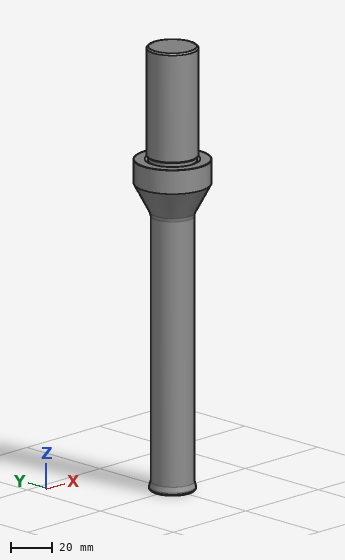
import cadquery as cq

total_height = 225.3
collar_top = 168.0
collar_height = 12.2
cone_bottom = 140.4
tip_height = 4.5
tip_rim_height = 1.8

shank_radius = 12.73
collar_radius = 19.04
stem_radius = 10.7
tip_radius = 11.5

shank_chamfer = 1.0
collar_chamfer = 0.2
tip_chamfer = 1.0
cone_fillet = 4.0
foot_margin = 1.1

neck_radius = 12.0
neck_height = 1.4
neck_chamfer = 0.7
ring_radius = 13.5
ring_depth = 0.7


def cylinder(radius, bottom, top):
    """Solid cylinder on the Z axis between two heights."""
    return cq.Workplane("XY").workplane(offset=bottom).circle(radius).extrude(top - bottom)


def make_shank():
    """Chamfered drive shank standing on a narrower neck in the collar's seat."""
    neck_top = collar_top + neck_height
    shank = cylinder(shank_radius, neck_top, total_height)
    shank = shank.faces(">Z").chamfer(shank_chamfer)
    shank = shank.faces("<Z").chamfer(neck_chamfer)
    neck = cylinder(neck_radius, collar_top - ring_depth, neck_top)
    return shank.union(neck)


def make_tool():
    """Collar, tapered cone, long stem and slightly flared tip, turned in one piece."""
    collar_bottom = collar_top - collar_height
    outline = [
        (0, 0),
        (tip_radius - tip_chamfer, 0),
        (tip_radius, tip_chamfer),
        (tip_radius, tip_rim_height),
        (stem_radius, tip_height),
        (stem_radius, cone_bottom),
        (collar_radius, collar_bottom),
        (collar_radius, collar_top - collar_chamfer),
        (collar_radius - collar_chamfer, collar_top),
        (ring_radius, collar_top),
        (neck_radius, collar_top - ring_depth),
        (0, collar_top - ring_depth),
    ]
    tool = cq.Workplane("XZ").polyline(outline).close().revolve(360, (0, 0), (0, 1))

    cone_foot = cq.selectors.BoxSelector(
        (-collar_radius, -collar_radius, cone_bottom - foot_margin),
        (collar_radius, collar_radius, cone_bottom + foot_margin),
        boundingbox=True,
    )
    return tool.edges(cone_foot).fillet(cone_fillet)


shank = make_shank()
tool = make_tool()
result = cq.Compound.makeCompound([shank.val(), tool.val()])